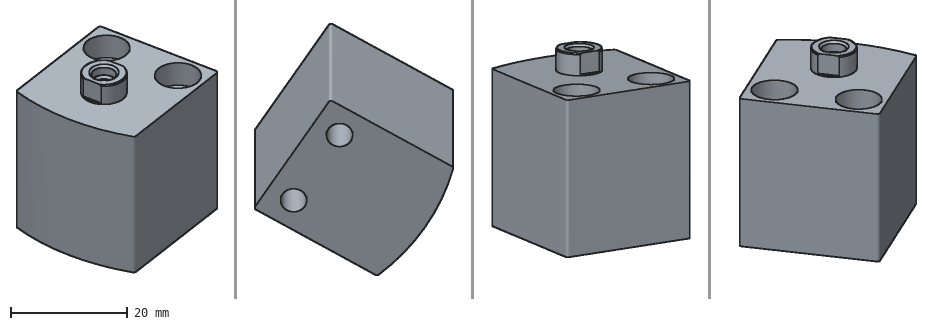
import cadquery as cq
import math

BLOCK_WIDTH = 25.0
BLOCK_HEIGHT = 28.0
BLOCK_DEPTH = 27.0
ROD_TO_BACK = 16.48
FRONT_RADIUS = 40.0
CORNER_RADIUS = 0.48

BOLT_SPACING = 15.0
BOLT_TO_BACK = 5.0
BOLT_DIAMETER = 4.5
COUNTERBORE_DIAMETER = 8.0
COUNTERBORE_DEPTH = 4.6

ROD_DIAMETER = 8.0
ROD_PROJECTION = 4.0
ROD_INSERTION = 12.0
ROD_CHAMFER_HEIGHT = 0.25
ROD_CHAMFER_WIDTH = 0.15
FLAT_SPACING = 7.0
FLAT_START = 0.25

MOUTH_DIAMETER = 5.12
RELIEF_DIAMETER = 4.3
RELIEF_DEPTH = 1.95
SEAT_DIAMETER = 4.13
PILOT_DIAMETER = 3.23
PILOT_DEPTH = 10.0
DRILL_POINT_ANGLE = 118.0

BACK_Y = ROD_TO_BACK
CROWN_Y = BACK_Y - BLOCK_DEPTH
ROD_BOTTOM_Z = BLOCK_HEIGHT - ROD_INSERTION
ROD_TOP_Z = BLOCK_HEIGHT + ROD_PROJECTION


def make_rod_blank():
    """Plain cylinder that also forms the matching recess in the housing."""
    return (
        cq.Workplane("XY", origin=(0, 0, ROD_BOTTOM_Z))
        .circle(ROD_DIAMETER / 2)
        .extrude(ROD_TOP_Z - ROD_BOTTOM_Z)
    )


def make_housing():
    half_width = BLOCK_WIDTH / 2
    front_rise = FRONT_RADIUS - math.sqrt(FRONT_RADIUS**2 - half_width**2)
    front_corner_y = CROWN_Y + front_rise
    block = (
        cq.Workplane("XY")
        .moveTo(-half_width, BACK_Y)
        .lineTo(-half_width, front_corner_y)
        .threePointArc((0, CROWN_Y), (half_width, front_corner_y))
        .lineTo(half_width, BACK_Y)
        .close()
        .extrude(BLOCK_HEIGHT)
        .edges("|Z")
        .fillet(CORNER_RADIUS)
    )
    bolt_y = BACK_Y - BOLT_TO_BACK
    bolt_points = [(side * BOLT_SPACING / 2, bolt_y) for side in (-1, 1)]
    drilled = (
        block.faces(">Z")
        .workplane(origin=(0, 0, BLOCK_HEIGHT))
        .pushPoints(bolt_points)
        .cboreHole(BOLT_DIAMETER, COUNTERBORE_DIAMETER, COUNTERBORE_DEPTH)
    )
    return drilled.cut(make_rod_blank())


def make_rod_end_hole():
    """Revolved cutter: flared mouth, relief, conical seat, pilot and drill point."""
    mouth_radius = MOUTH_DIAMETER / 2
    relief_radius = RELIEF_DIAMETER / 2
    seat_radius = SEAT_DIAMETER / 2
    pilot_radius = PILOT_DIAMETER / 2
    mouth_z = ROD_TOP_Z - (mouth_radius - relief_radius)
    relief_z = ROD_TOP_Z - RELIEF_DEPTH
    seat_z = relief_z - (seat_radius - pilot_radius)
    pilot_z = ROD_TOP_Z - PILOT_DEPTH
    point_z = pilot_z - pilot_radius / math.tan(math.radians(DRILL_POINT_ANGLE / 2))
    return (
        cq.Workplane("XZ")
        .moveTo(0, ROD_TOP_Z)
        .lineTo(mouth_radius, ROD_TOP_Z)
        .lineTo(relief_radius, mouth_z)
        .lineTo(relief_radius, relief_z)
        .lineTo(seat_radius, relief_z)
        .lineTo(pilot_radius, seat_z)
        .lineTo(pilot_radius, pilot_z)
        .lineTo(0, point_z)
        .close()
        .revolve(360, (0, 0, 0), (0, 1, 0))
    )


def cut_wrench_flats(rod):
    flat_height = ROD_PROJECTION - FLAT_START
    cutter_depth = ROD_DIAMETER / 2
    for side in (-1, 1):
        cutter_y = side * (FLAT_SPACING + cutter_depth) / 2
        cutter = (
            cq.Workplane("XY", origin=(0, cutter_y, BLOCK_HEIGHT + FLAT_START))
            .rect(ROD_DIAMETER, cutter_depth)
            .extrude(flat_height)
        )
        rod = rod.cut(cutter)
    return rod


def make_rod():
    rod = make_rod_blank().faces(">Z").edges().chamfer(ROD_CHAMFER_HEIGHT, ROD_CHAMFER_WIDTH)
    return cut_wrench_flats(rod).cut(make_rod_end_hole())


housing = make_housing()
rod = make_rod()
result = cq.Compound.makeCompound([housing.solids().val(), rod.solids().val()])